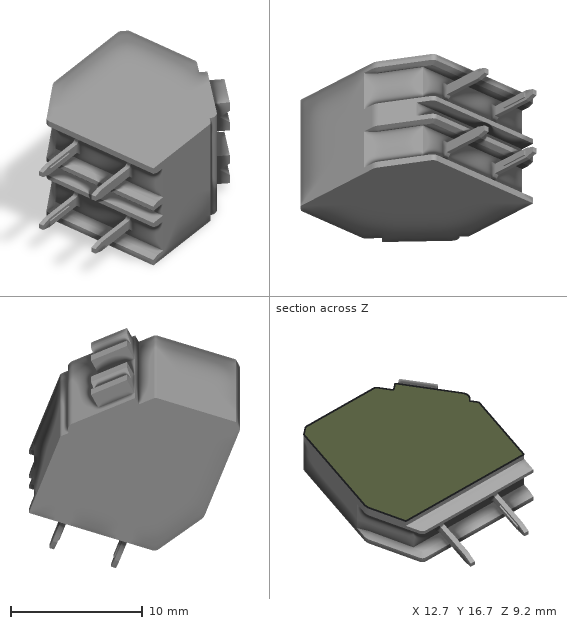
import cadquery as cq
import math


width = 12.7
depth = 12.9
height = 9.2
slope_rise = 4.06
slope_run = 2.45
slope_upper_radius = 1.0
slope_lower_radius = 0.5
corner_chamfer = 0.53
diagonal_sum = 19.94
diagonal_corner_radius = 0.3

shoulder_start_x = 8.03
shoulder_end_x = 12.22
shoulder_height = 0.63

pitch = 5.0
mid_z = height / 2
pole_heights = [mid_z - pitch / 2, mid_z + pitch / 2]

button_length = 3.03
button_width = 2.65
button_height = 1.3
button_setback = 0.08
button_groove_width = 1.08
button_groove_depth = 0.76

recess_depth = 1.22
recess_corner_x = 2.40
recess_top_y = 5.27
end_rib_thickness = 0.69
middle_rib_thickness = 2.3
rib_bevel_inset = 0.5
rib_bevel_drop = 0.18
middle_groove_width = 1.15

pin_thickness = 0.38
pin_start_x = 4.43
pin_length = 3.5
pin_half_width = 0.41
pin_root_half_width = 0.73
pin_root_length = 0.15
pin_tip_half_width = 0.21
pin_tip_length = 0.77
pin_embed = 0.5
pin_ridge_height = 0.11
pin_ridge_width = 0.4
pin_ridge_top_y = -0.31
pin_ridge_bottom_y = -2.65

half_root = math.sqrt(0.5)


def round_edges(solid, x, y, radius):
    """Fillet the vertical edge standing at (x, y)."""
    reach = 0.01
    nearby = cq.selectors.BoxSelector(
        (x - reach, y - reach, -reach), (x + reach, y + reach, height + reach)
    )
    return solid.edges(nearby).fillet(radius)


def make_outline_prism(thickness):
    """Full housing outline, without the shoulder."""
    diagonal_top_x = diagonal_sum - depth
    diagonal_side_y = diagonal_sum - width
    prism = (
        cq.Workplane("XY")
        .moveTo(slope_run, 0)
        .lineTo(width, 0)
        .lineTo(width, diagonal_side_y)
        .lineTo(diagonal_top_x, depth)
        .lineTo(corner_chamfer, depth)
        .lineTo(0, depth - corner_chamfer)
        .lineTo(0, slope_rise)
        .close()
        .extrude(thickness)
    )
    prism = round_edges(prism, width, diagonal_side_y, diagonal_corner_radius)
    prism = round_edges(prism, diagonal_top_x, depth, diagonal_corner_radius)
    prism = round_edges(prism, 0, slope_rise, slope_upper_radius)
    return round_edges(prism, slope_run, 0, slope_lower_radius)


def make_core():
    """Part of the housing behind the recess, over the full height."""
    clear = 1.0
    recess = (
        cq.Workplane("XY")
        .moveTo(-clear, recess_top_y)
        .lineTo(0, recess_top_y)
        .lineTo(recess_corner_x, recess_depth)
        .lineTo(width + clear, recess_depth)
        .lineTo(width + clear, -clear)
        .lineTo(-clear, -clear)
        .close()
        .extrude(height)
    )
    return make_outline_prism(height).cut(recess)


def make_shoulder():
    step = shoulder_height * half_root
    start = (shoulder_start_x, diagonal_sum - shoulder_start_x)
    end = (shoulder_end_x, diagonal_sum - shoulder_end_x)
    round_centre = (end[0] - step, end[1] + step)
    embed = 1.0
    return (
        cq.Workplane("XY")
        .moveTo(*start)
        .lineTo(start[0] + step, start[1] + step)
        .lineTo(round_centre[0] + step, round_centre[1] + step)
        .threePointArc((round_centre[0] + shoulder_height, round_centre[1]), end)
        .lineTo(end[0] - embed, end[1] - embed)
        .lineTo(start[0] - embed, start[1] - embed)
        .close()
        .extrude(height)
    )


def make_rib(thickness):
    """Housing slice whose upper rim is bevelled along the underside, slope and left side."""
    return make_outline_prism(thickness).faces(">Z").edges("<Y").chamfer(rib_bevel_drop, rib_bevel_inset)


def make_middle_groove():
    """Channel splitting the middle rib, as deep as the recess."""
    return (
        cq.Workplane("XY")
        .box(width, recess_depth, middle_groove_width, centered=(False, False, True))
        .translate((0, 0, mid_z))
    )


def make_housing():
    end_rib = make_rib(end_rib_thickness)
    half_middle_rib = make_rib(middle_rib_thickness / 2).translate((0, 0, mid_z))
    housing = make_core().union(make_shoulder())
    for rib in (end_rib, half_middle_rib):
        housing = housing.union(rib).union(rib.mirror("XY", (0, 0, mid_z)))
    return housing.cut(make_middle_groove())


def make_button(pole_z):
    """Block standing on the shoulder, with a V groove along its length."""
    step = shoulder_height * half_root
    shoulder_corner = (
        shoulder_start_x + step,
        diagonal_sum - shoulder_start_x + step,
        pole_z,
    )
    section_plane = cq.Plane(origin=shoulder_corner, xDir=(0, 0, -1), normal=(1, -1, 0))
    half_width = button_width / 2
    half_groove = button_groove_width / 2
    embed = 0.3
    return (
        cq.Workplane(section_plane)
        .workplane(offset=button_setback)
        .moveTo(-half_width, -embed)
        .lineTo(half_width, -embed)
        .lineTo(half_width, button_height)
        .lineTo(half_groove, button_height)
        .lineTo(0, button_height - button_groove_depth)
        .lineTo(-half_groove, button_height)
        .lineTo(-half_width, button_height)
        .close()
        .extrude(button_length)
    )


def make_pin(left_x, pole_z, ridge_x):
    """Flat pin with a wide root, a tapered tip and a ridge on one broad face."""
    root_end_y = recess_depth - pin_root_length
    shaft_top_y = root_end_y - (pin_root_half_width - pin_half_width)
    half_profile = [
        (recess_depth + pin_embed, pin_root_half_width),
        (root_end_y, pin_root_half_width),
        (shaft_top_y, pin_half_width),
        (pin_tip_length - pin_length, pin_half_width),
        (-pin_length, pin_tip_half_width),
    ]
    mirrored_half = [(y, -z) for y, z in reversed(half_profile)]
    blade = (
        cq.Workplane("YZ")
        .polyline(half_profile + mirrored_half)
        .close()
        .extrude(pin_thickness)
        .translate((left_x, 0, pole_z))
    )
    ridge = (
        cq.Workplane("XY")
        .box(
            pin_ridge_height,
            pin_ridge_top_y - pin_ridge_bottom_y,
            pin_ridge_width,
            centered=(False, False, True),
        )
        .translate((ridge_x, pin_ridge_bottom_y, pole_z))
    )
    return blade.union(ridge)


right_pin_x = pin_start_x + pitch

result = make_housing()
for pole_z in pole_heights:
    result = result.union(make_button(pole_z))
    result = result.union(make_pin(pin_start_x, pole_z, pin_start_x + pin_thickness))
    result = result.union(make_pin(right_pin_x, pole_z, right_pin_x - pin_ridge_height))